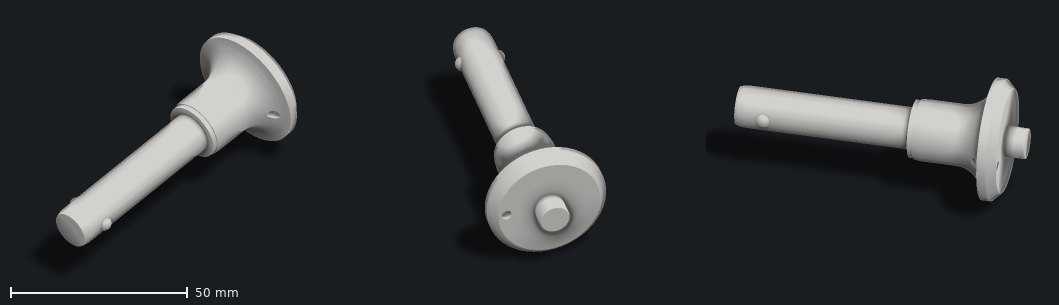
import cadquery as cq
import math


shank_radius = 6.0
shank_length = 50.6
tip_radius = 5.5
tip_length = 2.6

ball_radius = 2.15
ball_reach = 7.3
ball_from_tip = 8.4

collar_radius = 8.3
collar_length = 1.5
taper_small_radius = 8.6
taper_length = 2.1
sleeve_radius = 8.85
sleeve_length = 10.0
rim_radius = 17.5
rim_thickness = 2.6
rim_chamfer = 2.5
flare_radius = rim_radius - sleeve_radius

button_radius = 4.4
button_height = 5.85
button_end_fillet = 0.4

lanyard_hole_diameter = 3.0
lanyard_hole_offset = 12.5

tip_y = -shank_length
taper_start_y = collar_length
sleeve_start_y = taper_start_y + taper_length
flare_start_y = sleeve_start_y + sleeve_length
rim_start_y = flare_start_y + flare_radius
chamfer_start_y = rim_start_y + rim_thickness
handle_top_y = chamfer_start_y + rim_chamfer
button_top_y = handle_top_y + button_height


def revolve_about_y(profile):
    return profile.close().revolve(360, (0, 0, 0), (0, 1, 0))


def make_shank():
    return revolve_about_y(
        cq.Workplane("XY")
        .moveTo(0, tip_y)
        .lineTo(0, sleeve_start_y)
        .lineTo(shank_radius, sleeve_start_y)
        .lineTo(shank_radius, tip_y + tip_length)
        .tangentArcPoint((tip_radius, tip_y), relative=False)
    )


def make_handle():
    flare_mid_x = rim_radius - flare_radius * math.cos(math.pi / 4)
    flare_mid_y = flare_start_y + flare_radius * math.sin(math.pi / 4)
    return revolve_about_y(
        cq.Workplane("XY")
        .lineTo(collar_radius, 0)
        .lineTo(collar_radius, taper_start_y)
        .lineTo(taper_small_radius, taper_start_y)
        .lineTo(sleeve_radius, sleeve_start_y)
        .lineTo(sleeve_radius, flare_start_y)
        .threePointArc((flare_mid_x, flare_mid_y), (rim_radius, rim_start_y))
        .lineTo(rim_radius, chamfer_start_y)
        .lineTo(rim_radius - rim_chamfer, handle_top_y)
        .lineTo(0, handle_top_y)
    )


def make_button():
    return (
        cq.Workplane("XZ", origin=(0, button_top_y, 0))
        .circle(button_radius)
        .extrude(button_height + rim_thickness)
        .faces(">Y")
        .edges()
        .fillet(button_end_fillet)
    )


def make_ball(side):
    centre_x = side * (ball_reach - ball_radius)
    return cq.Workplane("XY").sphere(ball_radius).translate((centre_x, tip_y + ball_from_tip, 0))


def make_lanyard_hole():
    return (
        cq.Workplane("XZ", origin=(lanyard_hole_offset, handle_top_y, 0))
        .circle(lanyard_hole_diameter / 2)
        .extrude(handle_top_y)
    )


result = make_handle().union(make_shank()).union(make_button())
for side in (-1, 1):
    result = result.union(make_ball(side))
result = result.cut(make_lanyard_hole())